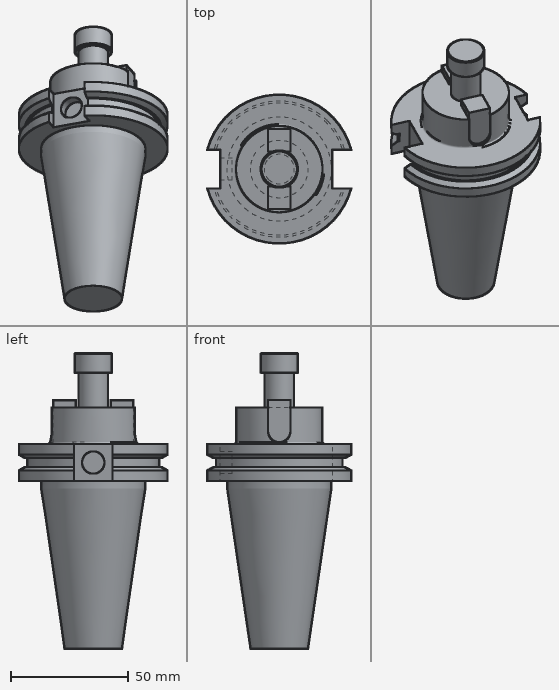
import cadquery as cq
import math

GAUGE_DIAMETER = 44.45
TAPER_LENGTH = 68.25
TAPER_RATIO = 7 / 24
COLLAR_HEIGHT = 3.175

FLANGE_DIAMETER = 63.5
FLANGE_TOP = 19.05
GROOVE_CENTER_Z = 11.11
GROOVE_DIAMETER = 56.36
GROOVE_FLOOR_WIDTH = 3.7
GROOVE_RIM_WIDTH = 6.8
GROOVE_WALL_ANGLE = 30

SLOT_WIDTH = 16.38
SLOT_FLOOR_LEFT = 25.2
SLOT_FLOOR_RIGHT = 22.6
SLOT_HOLE_DIAMETER = 9.525
SLOT_HOLE_DEPTH = 5.0

BOSS_DIAMETER = 36.8
BOSS_HEIGHT = 15.6
BOSS_FILLET = 0.8

KEY_WIDTH = 9.525
KEY_RISE = 3.05
KEY_DROP = 14.9
KEY_INNER = 7.4
KEY_OUTER = 17.1

OVERALL_HEIGHT = 125.91
SCREW_DIAMETER = 12.7
HEAD_DIAMETER = 15.875
HEAD_HEIGHT = 8.5
HEAD_CHAMFER = 0.4

BOSS_TOP = FLANGE_TOP + BOSS_HEIGHT
SCREW_TOP = OVERALL_HEIGHT - TAPER_LENGTH


def cylinder(diameter, bottom, top):
    return cq.Workplane("XY").workplane(offset=bottom).circle(diameter / 2).extrude(top - bottom)


def make_body():
    """Taper, collar and grooved flange, turned about the Z axis."""
    gauge_radius = GAUGE_DIAMETER / 2
    small_radius = gauge_radius - TAPER_LENGTH * TAPER_RATIO / 2
    rim_radius = FLANGE_DIAMETER / 2
    groove_radius = GROOVE_DIAMETER / 2
    wall_height = (GROOVE_RIM_WIDTH - GROOVE_FLOOR_WIDTH) / 2
    wall_foot_radius = rim_radius - wall_height / math.tan(math.radians(GROOVE_WALL_ANGLE))
    floor_low = GROOVE_CENTER_Z - GROOVE_FLOOR_WIDTH / 2
    floor_high = GROOVE_CENTER_Z + GROOVE_FLOOR_WIDTH / 2
    profile = [
        (0, -TAPER_LENGTH),
        (small_radius, -TAPER_LENGTH),
        (gauge_radius, 0),
        (gauge_radius, COLLAR_HEIGHT),
        (rim_radius, COLLAR_HEIGHT),
        (rim_radius, floor_low - wall_height),
        (wall_foot_radius, floor_low),
        (groove_radius, floor_low),
        (groove_radius, floor_high),
        (wall_foot_radius, floor_high),
        (rim_radius, floor_high + wall_height),
        (rim_radius, FLANGE_TOP),
        (0, FLANGE_TOP),
    ]
    return cq.Workplane("XZ").polyline(profile).close().revolve(360, (0, 0), (0, 1))


def make_boss():
    """Pilot boss with a concave fillet where it meets the flange."""
    radius = BOSS_DIAMETER / 2
    inset = BOSS_FILLET * (1 - math.sqrt(0.5))
    return (
        cq.Workplane("XZ")
        .moveTo(0, FLANGE_TOP)
        .lineTo(radius + BOSS_FILLET, FLANGE_TOP)
        .threePointArc((radius + inset, FLANGE_TOP + inset), (radius, FLANGE_TOP + BOSS_FILLET))
        .lineTo(radius, BOSS_TOP)
        .lineTo(0, BOSS_TOP)
        .close()
        .revolve(360, (0, 0), (0, 1))
    )


def key_shape(side, inner, outer, top):
    """Upright bar with a round lower end, between two distances from the axis along side * Y."""
    half_width = KEY_WIDTH / 2
    round_center_z = BOSS_TOP - KEY_DROP + half_width
    return (
        cq.Workplane("XZ", origin=(0, side * inner, 0))
        .moveTo(-half_width, top)
        .lineTo(-half_width, round_center_z)
        .threePointArc((0, round_center_z - half_width), (half_width, round_center_z))
        .lineTo(half_width, top)
        .close()
        .extrude(-side * (outer - inner))
    )


def make_drive_slot(side, floor):
    """Cutter for a full-height slot in the flange, open towards side * X."""
    length = FLANGE_DIAMETER / 2 - floor
    height = FLANGE_TOP - COLLAR_HEIGHT
    center = (side * (floor + length / 2), 0, COLLAR_HEIGHT + height / 2)
    return cq.Workplane("XY").box(length, SLOT_WIDTH, height).translate(center)


def make_slot_hole():
    """Cutter for the blind radial hole in the floor of the -X slot."""
    center_z = (FLANGE_TOP + COLLAR_HEIGHT) / 2
    return (
        cq.Workplane("YZ", origin=(-SLOT_FLOOR_LEFT, 0, center_z))
        .circle(SLOT_HOLE_DIAMETER / 2)
        .extrude(SLOT_HOLE_DEPTH)
    )


def make_screw():
    """Screw shank rising from the boss, with a cylindrical chamfered head."""
    head_bottom = SCREW_TOP - HEAD_HEIGHT
    head = cylinder(HEAD_DIAMETER, head_bottom, SCREW_TOP).edges().chamfer(HEAD_CHAMFER)
    return cylinder(SCREW_DIAMETER, BOSS_TOP, head_bottom).union(head)


result = make_body().union(make_boss())
result = result.cut(make_drive_slot(-1, SLOT_FLOOR_LEFT))
result = result.cut(make_drive_slot(1, SLOT_FLOOR_RIGHT))
result = result.cut(make_slot_hole())
for y_side in (-1, 1):
    keyway = key_shape(y_side, KEY_OUTER, BOSS_DIAMETER / 2 + BOSS_FILLET, BOSS_TOP)
    key = key_shape(y_side, KEY_INNER, KEY_OUTER, BOSS_TOP + KEY_RISE)
    result = result.cut(keyway).union(key)
result = result.union(make_screw())